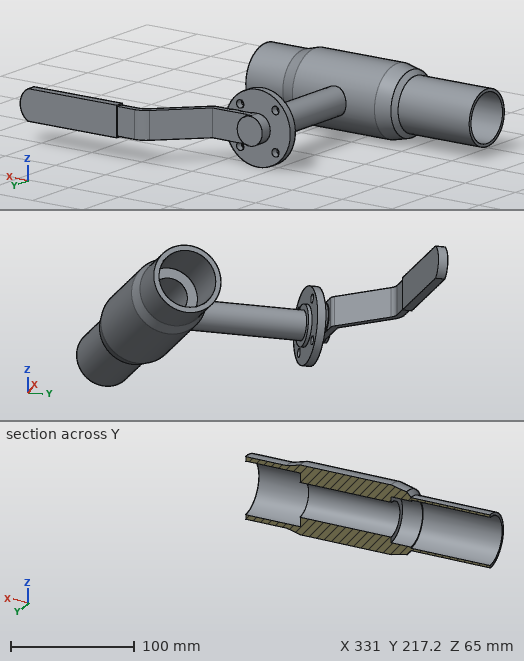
import cadquery as cq
import math


inlet_x = -130.0
neck_x = -59.0
shoulder_x = -55.0
barrel_start_x = -41.0
barrel_end_x = 41.0
outlet_shoulder_x = 53.0
outlet_x = 90.0
inlet_dia = 48.3
barrel_dia = 63.5
outlet_dia = 57.0
inlet_bore = 43.1
seat_bore = 41.0
ball_bore = 31.0
outlet_bore = 48.0

stem_dia = 25.0
collar_dia = 35.0
collar_thickness = 3.0
flange_dia = 65.0
flange_thickness = 7.0
flange_top_y = 135.5
flange_bottom_y = flange_top_y - flange_thickness
bolt_count = 4
bolt_dia = 7.0
bolt_circle_dia = 50.0
first_bolt_angle = 45.0

hub_height = 11.0
hub_cheek_length = 5.5
hub_cheek_height = 8.4

bar_width = 25.0
bar_thickness = 6.0
bar_y = 140.2
bar_rise = 41.2
bend_start_x = 40.8
bend_angle = 45.0
lower_bend_inner_radius = 0.5
upper_bend_inner_radius = 10.0
pad_start_x = 5.5
pad_end_x = 36.0
pad_thickness = 0.7

grip_start_x = 104.5
grip_shoulder_x = 193.0
grip_end_x = 201.0
grip_width = 27.3
grip_thickness = 8.0


def disc(diameter, bottom_y, height):
    """Cylinder on the stem axis that rises from bottom_y."""
    base = cq.Workplane("XZ", origin=(0, bottom_y, 0))
    return base.circle(diameter / 2).extrude(-height)


def tube_bore(diameter, start_x, end_x):
    """Cylinder on the flow axis between two X positions."""
    base = cq.Workplane("YZ", origin=(start_x, 0, 0))
    return base.circle(diameter / 2).extrude(end_x - start_x)


def valve_tube():
    """Barrel that tapers down to the inlet and outlet pipe ends."""
    outline = [
        (inlet_x, 0),
        (inlet_x, inlet_dia / 2),
        (neck_x, inlet_dia / 2),
        (shoulder_x, outlet_dia / 2),
        (barrel_start_x, barrel_dia / 2),
        (barrel_end_x, barrel_dia / 2),
        (outlet_shoulder_x, outlet_dia / 2),
        (outlet_x, outlet_dia / 2),
        (outlet_x, 0),
    ]
    return cq.Workplane("XY").polyline(outline).close().revolve(360, (0, 0, 0), (1, 0, 0))


def flow_passage():
    """Stepped bore that runs through the whole tube."""
    passage = tube_bore(inlet_bore, inlet_x, neck_x)
    passage = passage.union(tube_bore(seat_bore, neck_x, barrel_start_x))
    passage = passage.union(tube_bore(ball_bore, barrel_start_x, barrel_end_x))
    return passage.union(tube_bore(outlet_bore, barrel_end_x, outlet_x))


def bolt_holes():
    """Holes through the flange, evenly spaced on the bolt circle."""
    base = cq.Workplane("XZ", origin=(0, flange_bottom_y, 0))
    centres = base.polarArray(bolt_circle_dia / 2, first_bolt_angle, 360, bolt_count)
    return centres.circle(bolt_dia / 2).extrude(-flange_thickness)


def make_valve():
    """Valve tube with its stem, collar and mounting flange."""
    flange = disc(flange_dia, flange_bottom_y, flange_thickness).cut(bolt_holes())
    collar = disc(collar_dia, flange_bottom_y - collar_thickness, collar_thickness)
    stem = disc(stem_dia, 0, flange_bottom_y)
    valve = valve_tube().union(stem).union(collar).union(flange)
    return valve.cut(flow_passage())


def lever_bar():
    """Bar strip from the stem axis to inside the grip, with rounded bends."""
    half = bar_thickness / 2
    rise_x = bar_rise / math.tan(math.radians(bend_angle))
    bend_end_x = bend_start_x + rise_x
    upper_y = bar_y + bar_rise
    corner_shift = half * math.tan(math.radians(bend_angle / 2))
    outline = [
        (0, bar_y - half),
        (bend_start_x + corner_shift, bar_y - half),
        (bend_end_x + corner_shift, upper_y - half),
        (grip_shoulder_x, upper_y - half),
        (grip_shoulder_x, upper_y + half),
        (bend_end_x - corner_shift, upper_y + half),
        (bend_start_x - corner_shift, bar_y + half),
        (0, bar_y + half),
    ]
    bar = cq.Workplane("XY").polyline(outline).close().extrude(bar_width / 2, both=True)

    def bend_edge(x, y):
        return cq.selectors.NearestToPointSelector((x, y, 0))

    bends = [
        (bend_start_x + corner_shift, bar_y - half, lower_bend_inner_radius + bar_thickness),
        (bend_start_x - corner_shift, bar_y + half, lower_bend_inner_radius),
        (bend_end_x + corner_shift, upper_y - half, upper_bend_inner_radius),
        (bend_end_x - corner_shift, upper_y + half, upper_bend_inner_radius + bar_thickness),
    ]
    for x, y, radius in bends:
        bar = bar.edges("|Z").edges(bend_edge(x, y)).fillet(radius)
    return bar


def lever_hub():
    """Round hub on the flange, with flat cheeks that carry the bar."""
    cheeks = cq.Workplane("XY").box(
        hub_cheek_length, hub_cheek_height, bar_width, centered=(False, False, True)
    )
    cheeks = cheeks.translate((0, flange_top_y, 0))
    return disc(stem_dia, flange_top_y, hub_height).union(cheeks)


def lever_pad():
    """Thin pad with round ends under the straight part of the bar."""
    middle_x = (pad_start_x + pad_end_x) / 2
    bar_bottom_y = bar_y - bar_thickness / 2
    base = cq.Workplane("XZ", origin=(middle_x, bar_bottom_y, 0))
    return base.slot2D(pad_end_x - pad_start_x, bar_width).extrude(pad_thickness)


def lever_grip():
    """Flat grip with an arc-shaped free end."""
    half = grip_width / 2
    upper_y = bar_y + bar_rise
    base = cq.Workplane("XZ", origin=(0, upper_y, 0))
    outline = base.moveTo(grip_start_x, -half).lineTo(grip_shoulder_x, -half)
    outline = outline.threePointArc((grip_end_x, 0), (grip_shoulder_x, half))
    outline = outline.lineTo(grip_start_x, half).close()
    return outline.extrude(grip_thickness / 2, both=True)


def make_lever():
    """Hub, bar, pad and grip as one handle."""
    return lever_hub().union(lever_bar()).union(lever_pad()).union(lever_grip())


valve = make_valve()
lever = make_lever()

result = cq.Compound.makeCompound([valve.val(), lever.val()])